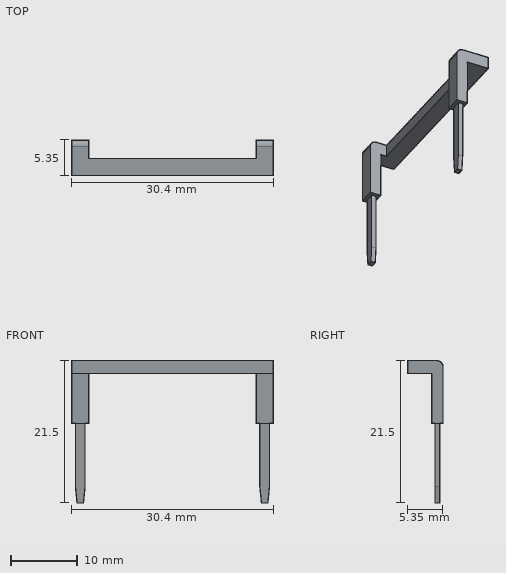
import cadquery as cq

length = 30.4
depth = 5.35
height = 21.5

bar_width = 2.6
bar_thickness = 2.0
leg_width = 2.6
leg_thickness = 1.75
leg_height = 9.5
bend_radius = 1.0

pin_width = 1.5
pin_thickness = 0.75
pin_tip_width = 1.0
pin_taper_length = 2.5

leg_offset = (length - leg_width) / 2
leg_front = depth - leg_thickness


def make_crossbar():
    """Straight bar along X joining the two legs."""
    return (
        cq.Workplane("XY", origin=(0, 0, -bar_thickness))
        .box(length, bar_width, bar_thickness, centered=(True, False, False))
    )


def make_leg(center_x):
    """L-shaped leg: runs back from the bar, then turns down with a rounded outer bend."""
    return (
        cq.Workplane("YZ", origin=(center_x - leg_width / 2, 0, 0))
        .moveTo(0, 0)
        .lineTo(depth - bend_radius, 0)
        .radiusArc((depth, -bend_radius), bend_radius)
        .lineTo(depth, -leg_height)
        .lineTo(leg_front, -leg_height)
        .lineTo(leg_front, -bar_thickness)
        .lineTo(0, -bar_thickness)
        .close()
        .extrude(leg_width)
    )


def make_pin(center_x):
    """Flat pin whose sides taper to a narrower tip."""
    half_width = pin_width / 2
    half_tip = pin_tip_width / 2
    taper_start = -height + pin_taper_length
    outline = [
        (-half_width, -leg_height),
        (half_width, -leg_height),
        (half_width, taper_start),
        (half_tip, -height),
        (-half_tip, -height),
        (-half_width, taper_start),
    ]
    pin_center_y = depth - leg_thickness / 2
    return (
        cq.Workplane("XZ", origin=(center_x, pin_center_y, 0))
        .polyline(outline)
        .close()
        .extrude(pin_thickness / 2, both=True)
    )


result = make_crossbar()
for leg_x in (-leg_offset, leg_offset):
    result = result.union(make_leg(leg_x)).union(make_pin(leg_x))
result = result.clean()